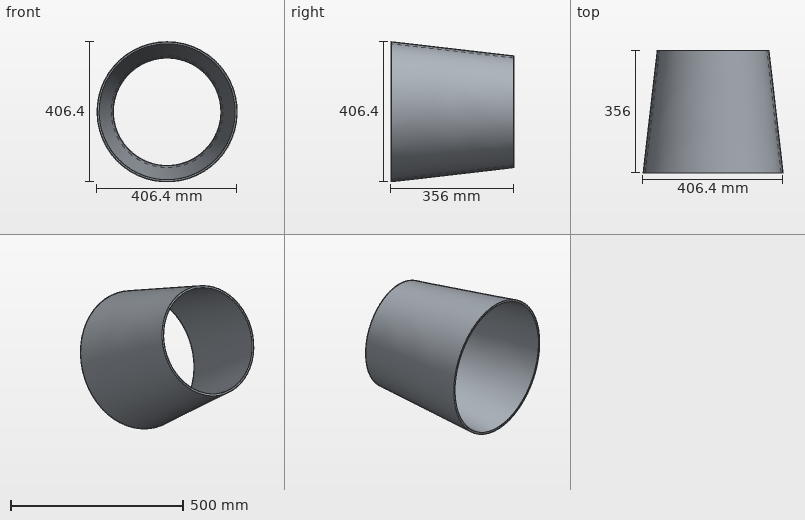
import cadquery as cq

large_outer_diameter = 406.4
small_outer_diameter = 323.9
wall_thickness = 6.0
length = 356.0


def cone_frustum(large_diameter, small_diameter):
    """Solid cone frustum narrowing from Y = 0 to Y = length."""
    return cq.Workplane("XY").add(
        cq.Solid.makeCone(
            large_diameter / 2,
            small_diameter / 2,
            length,
            pnt=cq.Vector(0, 0, 0),
            dir=cq.Vector(0, 1, 0),
        )
    )


outer_body = cone_frustum(large_outer_diameter, small_outer_diameter)
bore = cone_frustum(
    large_outer_diameter - 2 * wall_thickness,
    small_outer_diameter - 2 * wall_thickness,
)

result = outer_body.cut(bore)